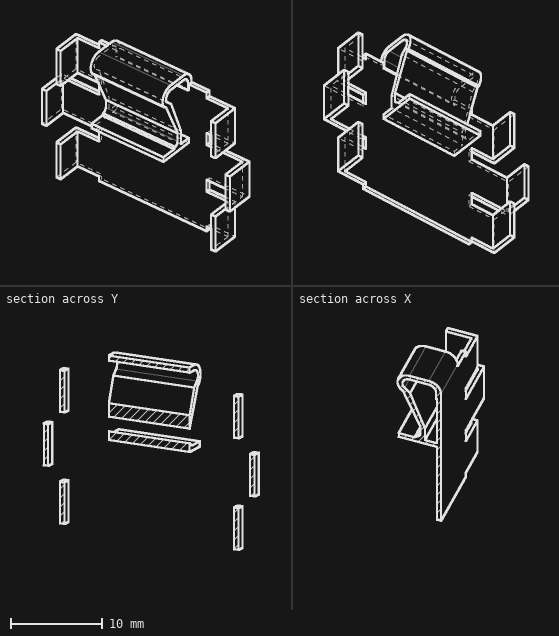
import cadquery as cq
import math

plate_width = 15.05
plate_height = 19.0
plate_thickness = 0.5

tab_height = 4.8
lowest_tab_bottom = 0.63
tab_pitch = 6.4
outer_tab_span = 22.2
middle_tab_span = 26.2
flap_thickness = 0.6
flap_depth = 3.5

clip_width = 10.03
clip_top = 20.72
clip_depth = 5.15
strip_thickness = 0.63
bend_inner_radius = 0.8
bend_outer_radius = bend_inner_radius + strip_thickness
bend_end_angle = math.radians(-45)
leg_bottom = 18.2

outer_knee = (4.53, 18.15)
inner_knee = (3.65, 18.13)
upright_back = 1.89
upright_front = 2.45
upright_top = 13.41

foot_depth = 5.0
foot_top = 11.63
foot_thickness = 0.63
fillet_top = 12.35
fillet_end = (2.9, 11.82)
fillet_radius = 0.63
fillet_toe = 3.12


def block(width, depth, height, x_center, bottom):
    """Block with its rear face on y = 0, reaching toward -Y."""
    return (
        cq.Workplane("XY")
        .box(width, depth, height, centered=(True, False, False))
        .translate((x_center, -depth, bottom))
    )


def tab_pair(span, bottom):
    """Strip across the plate with a folded flap at both ends."""
    pair = block(span, plate_thickness, tab_height, 0, bottom)
    flap_center = (span - flap_thickness) / 2
    for side in (-1, 1):
        pair = pair.union(block(flap_thickness, flap_depth, tab_height, side * flap_center, bottom))
    return pair


def clip():
    """Hooked strip and foot; the local profile axes are -Y and Z."""
    bend_z = clip_top - bend_outer_radius
    back_center = bend_outer_radius
    front_center = clip_depth - bend_outer_radius

    def on_bend(center, radius, angle):
        return (center + radius * math.cos(angle), bend_z + radius * math.sin(angle))

    front_middle = (math.pi / 2 + bend_end_angle) / 2
    back_middle = math.radians(135)
    foot_bottom = foot_top - foot_thickness
    profile = (
        cq.Workplane("YZ")
        .moveTo(0, leg_bottom)
        .lineTo(0, bend_z)
        .threePointArc(on_bend(back_center, bend_outer_radius, back_middle), (back_center, clip_top))
        .lineTo(front_center, clip_top)
        .threePointArc(
            on_bend(front_center, bend_outer_radius, front_middle),
            on_bend(front_center, bend_outer_radius, bend_end_angle),
        )
        .lineTo(*outer_knee)
        .lineTo(upright_front, upright_top)
        .lineTo(upright_front, fillet_top)
        .radiusArc(fillet_end, -fillet_radius)
        .lineTo(fillet_toe, foot_top)
        .lineTo(foot_depth, foot_top)
        .lineTo(foot_depth, foot_bottom)
        .lineTo(plate_thickness, foot_bottom)
        .lineTo(plate_thickness, foot_top)
        .lineTo(upright_back, foot_top)
        .lineTo(upright_back, upright_top)
        .lineTo(*inner_knee)
        .lineTo(*on_bend(front_center, bend_inner_radius, bend_end_angle))
        .threePointArc(
            on_bend(front_center, bend_inner_radius, front_middle),
            (front_center, clip_top - strip_thickness),
        )
        .lineTo(back_center, clip_top - strip_thickness)
        .threePointArc(
            on_bend(back_center, bend_inner_radius, back_middle),
            (strip_thickness, bend_z),
        )
        .lineTo(strip_thickness, leg_bottom)
        .close()
    )
    return profile.extrude(clip_width / 2, both=True).mirror("XZ")


result = block(plate_width, plate_thickness, plate_height, 0, 0)
for row, span in enumerate((outer_tab_span, middle_tab_span, outer_tab_span)):
    result = result.union(tab_pair(span, lowest_tab_bottom + row * tab_pitch))
result = result.union(clip())